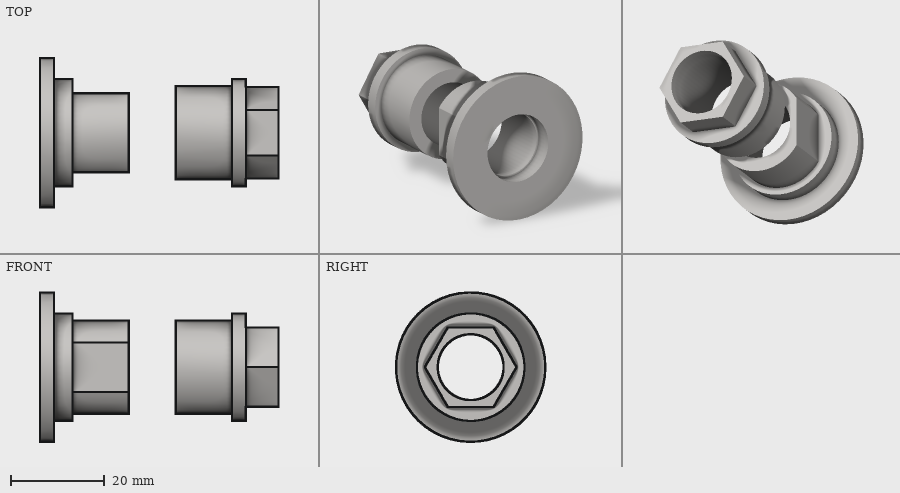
import cadquery as cq
import math

total_length = 51.0
flange_thickness = 3.0
collar_end = 7.0
sleeve_end = 19.0
nut_start = 29.0
nut_collar_start = 41.0
hex_start = 44.0

flange_diameter = 32.0
collar_diameter = 23.0
barrel_diameter = 20.0
width_across_flats = 17.0
counterbore_diameter = 15.0
bore_diameter = 14.0
counterbore_depth = 4.0


def cylinder(diameter, start, end):
    """Solid cylinder on the X axis between two stations."""
    return cq.Workplane("YZ", origin=(start, 0, 0)).circle(diameter / 2).extrude(end - start)


def make_sleeve():
    """Flanged sleeve with a collar and two wrench flats facing +Y and -Y."""
    flange = cylinder(flange_diameter, 0, flange_thickness)
    collar = cylinder(collar_diameter, flange_thickness, collar_end)
    barrel_length = sleeve_end - collar_end
    flats = (
        cq.Workplane("YZ", origin=(collar_end, 0, 0))
        .rect(width_across_flats, barrel_diameter)
        .extrude(barrel_length)
    )
    barrel = cylinder(barrel_diameter, collar_end, sleeve_end).intersect(flats)
    body = flange.union(collar).union(barrel)
    counterbore = cylinder(counterbore_diameter, 0, counterbore_depth)
    bore = cylinder(bore_diameter, 0, sleeve_end)
    return body.cut(counterbore).cut(bore)


def make_nut():
    """Round barrel and collar ending in a hexagon with corners along Y."""
    barrel = cylinder(barrel_diameter, nut_start, nut_collar_start)
    collar = cylinder(collar_diameter, nut_collar_start, hex_start)
    width_across_corners = width_across_flats / math.cos(math.pi / 6)
    hexagon = (
        cq.Workplane("YZ", origin=(hex_start, 0, 0))
        .polygon(6, width_across_corners)
        .extrude(total_length - hex_start)
    )
    bore = cylinder(bore_diameter, nut_start, total_length)
    return barrel.union(collar).union(hexagon).cut(bore)


sleeve = make_sleeve()
nut = make_nut()

result = cq.Compound.makeCompound([sleeve.val(), nut.val()])